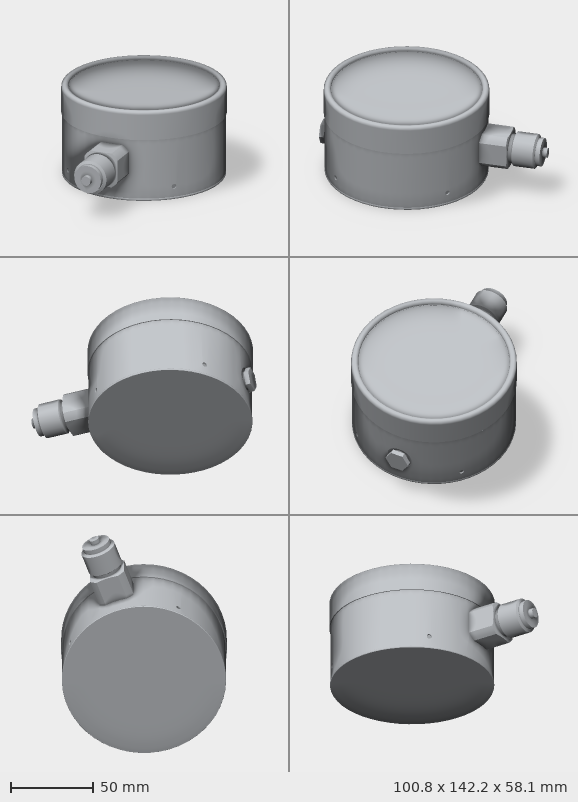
import cadquery as cq
import math

body_diameter = 99.5
base_bead_diameter = 100.0
base_bead_height = 1.4
bezel_diameter = 100.8
bezel_bottom = 39.6
case_height = 58.09
bezel_rim_radius = 2.3
window_rim_diameter = 92.0
window_diameter = 91.0
window_ledge_depth = 2.0
window_step = 0.1

connector_height = 24.6
wrench_width = 22.0
wrench_corner_diameter = 26.0
wrench_end_slope = math.tan(math.radians(15))
wrench_end = 66.0
neck_diameter = 18.0
neck_length = 2.0
thread_diameter = 21.36
thread_length = 15.0
thread_end_slope = math.tan(math.radians(30))
spigot_diameter = 17.5
spigot_length = 3.0
pin_diameter = 6.0
pin_length = 3.0

plug_height = 18.9
plug_width = 13.0
plug_head_length = 3.0
plug_end = 53.25
plug_shank_diameter = 11.4
plug_recess_diameter = 16.0
plug_recess_depth = 1.0

side_hole_diameter = 3.0
side_hole_depth = 1.0
side_hole_height = 8.1
side_hole_count = 4

body_radius = body_diameter / 2
bezel_radius = bezel_diameter / 2


def make_case():
    """Cylindrical body with a rounded base bead and a bezel whose rim is fully rounded."""
    bead_radius = base_bead_diameter / 2
    rim_center = bezel_radius - bezel_rim_radius
    rim_bottom = case_height - bezel_rim_radius
    ledge = case_height - window_ledge_depth
    window = ledge - window_step
    window_rim = window_rim_diameter / 2
    window_radius = window_diameter / 2
    profile = (
        cq.Workplane("XZ")
        .lineTo(body_radius, 0)
        .threePointArc((bead_radius, base_bead_height / 2), (body_radius, base_bead_height))
        .lineTo(body_radius, bezel_bottom)
        .lineTo(bezel_radius, bezel_bottom)
        .lineTo(bezel_radius, rim_bottom)
        .threePointArc((rim_center, case_height), (window_rim, ledge))
        .lineTo(window_radius, ledge)
        .lineTo(window_radius, window)
        .lineTo(0, window)
        .close()
    )
    return profile.revolve(360, (0, 0, 0), (0, 1, 0))


def make_wrench_shank():
    """Square shank whose corners are turned round and whose end is slightly coned."""
    square = (
        cq.Workplane("XZ", origin=(0, 0, connector_height))
        .rect(wrench_width, wrench_width)
        .extrude(wrench_end)
    )
    corner_radius = wrench_corner_diameter / 2
    end_radius = wrench_width / 2
    cone_length = (corner_radius - end_radius) * wrench_end_slope
    turned = (
        cq.Workplane("XY", origin=(0, 0, connector_height))
        .lineTo(corner_radius, 0)
        .lineTo(corner_radius, -wrench_end + cone_length)
        .lineTo(end_radius, -wrench_end)
        .lineTo(0, -wrench_end)
        .close()
        .revolve(360, (0, 0, 0), (0, 1, 0))
    )
    return square.intersect(turned)


def make_connector():
    """Wrench shank followed by neck, thread with coned ends, spigot and pin."""
    thread_radius = thread_diameter / 2
    neck_radius = neck_diameter / 2
    chamfer_length = (thread_radius - neck_radius) * thread_end_slope
    thread_start = wrench_end + neck_length
    thread_end = thread_start + thread_length
    spigot_end = thread_end + spigot_length
    pin_end = spigot_end + pin_length
    stub = (
        cq.Workplane("XY", origin=(0, 0, connector_height))
        .moveTo(0, -body_radius)
        .lineTo(neck_radius, -body_radius)
        .lineTo(neck_radius, -thread_start)
        .lineTo(thread_radius, -thread_start - chamfer_length)
        .lineTo(thread_radius, -thread_end + chamfer_length)
        .lineTo(neck_radius, -thread_end)
        .lineTo(spigot_diameter / 2, -thread_end)
        .lineTo(spigot_diameter / 2, -spigot_end)
        .lineTo(pin_diameter / 2, -spigot_end)
        .lineTo(pin_diameter / 2, -pin_end)
        .lineTo(0, -pin_end)
        .close()
        .revolve(360, (0, 0, 0), (0, 1, 0))
    )
    return make_wrench_shank().union(stub)


def make_plug():
    """Hexagon head on a round shank, with two flats facing up and down."""
    across_corners = plug_width / math.cos(math.pi / 6)
    head_start = plug_end - plug_head_length
    head = (
        cq.Workplane("XZ", origin=(0, plug_end, plug_height))
        .polygon(6, across_corners)
        .extrude(plug_head_length)
    )
    shank = (
        cq.Workplane("XZ", origin=(0, head_start, plug_height))
        .circle(plug_shank_diameter / 2)
        .extrude(head_start)
    )
    return head.union(shank)


def make_plug_recess():
    """Flat-bottomed round recess in the case around the plug shank."""
    return (
        cq.Workplane("XZ", origin=(0, plug_end, plug_height))
        .circle(plug_recess_diameter / 2)
        .extrude(plug_end - body_radius + plug_recess_depth)
    )


def make_side_holes():
    """Shallow blind holes spaced evenly around the body, midway between the X and Y axes."""
    hole = (
        cq.Workplane("YZ", origin=(body_radius - side_hole_depth, 0, side_hole_height))
        .circle(side_hole_diameter / 2)
        .extrude(2 * side_hole_depth)
    )
    step = 360 / side_hole_count
    holes = cq.Workplane("XY")
    for index in range(side_hole_count):
        holes = holes.add(hole.rotate((0, 0, 0), (0, 0, 1), step * (index + 0.5)))
    return holes.combine()


case = make_case().cut(make_plug_recess()).cut(make_side_holes())
result = case.union(make_connector()).union(make_plug())